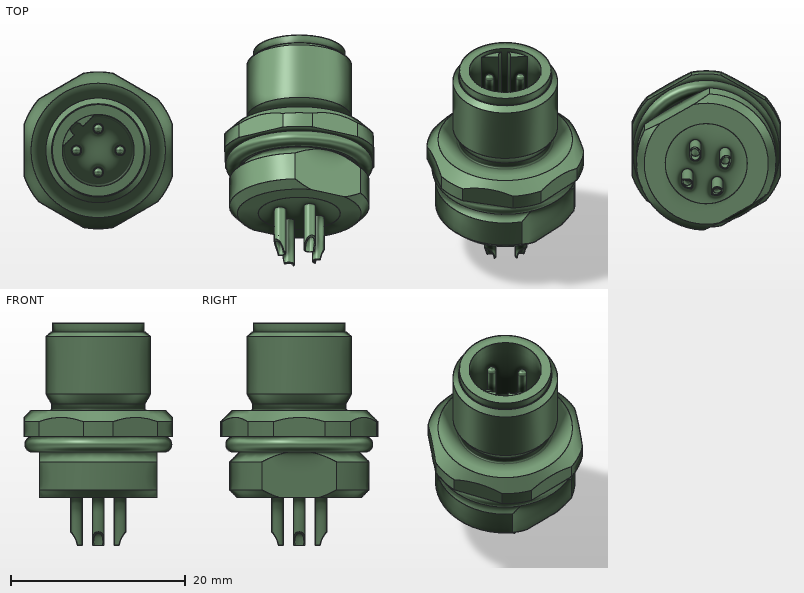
import cadquery as cq
import math


top_z = 13.0
shell_top_z = 12.0
flange_top_z = 3.0
socket_floor_z = 4.0
pin_shoulder_z = 0.0
base_z = -7.0
pin_bottom_z = -12.5

thread_radius = 6.0
neck_radius = 5.35
thread_lead_in_height = 0.55
thread_bottom_z = 4.9
neck_top_z = 3.75
neck_fillet = 0.2
flange_radius = 9.0
flange_across_flats = 17.0
flange_chamfer = 1.3
rear_radius = 8.0
rear_across_flats = 13.5
rear_top_z = -2.9
rear_bottom_chamfer = 0.9
shell_bore_radius = 4.7

ring_section_radius = 0.885
ring_inner_radius = 6.65
ring_center_radius = ring_inner_radius + ring_section_radius

lip_radius = 5.25
socket_radius = 4.12
socket_floor_fillet = 0.25
key_pad_top_z = 12.5
key_pad_offset = 3.18
key_slot_width = 1.38
key_slot_center_offset = 3.51
key_angle = 135.0

pin_count = 4
pin_circle_radius = 2.5
contact_radius = 0.5
contact_top_z = 11.0
contact_tip_fillet = 0.42
collar_radius = 0.6
collar_height = 0.1
solder_radius = 0.675
solder_cup_radius = 0.52
solder_cup_depth = 2.0
solder_edge_chamfer = 0.08
scoop_depth = 0.77
scoop_straight = 0.1
scoop_radius = 3.0
scoop_top_z = -10.9


def cylinder(radius, bottom_z, upper_z):
    return cq.Workplane("XY").workplane(offset=bottom_z).circle(radius).extrude(upper_z - bottom_z)


def make_shell():
    groove_bottom_z = rear_top_z + rear_radius - ring_inner_radius
    profile = (
        cq.Workplane("YZ")
        .moveTo(shell_bore_radius, base_z)
        .lineTo(rear_radius - rear_bottom_chamfer, base_z)
        .lineTo(rear_radius, base_z + rear_bottom_chamfer)
        .lineTo(rear_radius, rear_top_z)
        .lineTo(ring_inner_radius, groove_bottom_z)
        .lineTo(ring_inner_radius, 0)
        .lineTo(flange_radius, 0)
        .lineTo(flange_radius, flange_top_z - flange_chamfer)
        .lineTo(flange_radius - flange_chamfer, flange_top_z)
        .lineTo(neck_radius + neck_fillet, flange_top_z)
        .radiusArc((neck_radius, flange_top_z + neck_fillet), neck_fillet)
        .lineTo(neck_radius, neck_top_z)
        .lineTo(thread_radius, thread_bottom_z)
        .lineTo(thread_radius, shell_top_z - thread_lead_in_height)
        .lineTo(neck_radius, shell_top_z)
        .lineTo(shell_bore_radius, shell_top_z)
        .close()
    )
    turned = profile.revolve(360, (0, 0, 0), (0, 1, 0))

    hexagon = (
        cq.Workplane("XY")
        .polygon(6, flange_across_flats / math.cos(math.pi / 6))
        .extrude(top_z)
        .rotate((0, 0, 0), (0, 0, 1), 30)
    )
    rear_flats = (
        cq.Workplane("XY")
        .rect(rear_across_flats, 2 * flange_radius)
        .extrude(base_z)
    )
    return turned.intersect(hexagon.union(rear_flats))


def make_sealing_ring():
    return (
        cq.Workplane("XZ")
        .center(ring_center_radius, -ring_section_radius)
        .circle(ring_section_radius)
        .revolve(360, (-ring_center_radius, 0, 0), (-ring_center_radius, 1, 0))
    )


def make_key_pad():
    segment = cylinder(socket_radius, socket_floor_z, key_pad_top_z).intersect(
        cq.Workplane("XY")
        .workplane(offset=socket_floor_z)
        .center(key_pad_offset + socket_radius / 2, 0)
        .rect(socket_radius, 2 * socket_radius)
        .extrude(key_pad_top_z - socket_floor_z)
    )
    slot = (
        cq.Workplane("XY")
        .workplane(offset=socket_floor_z)
        .center(key_slot_center_offset - socket_radius / 2, 0)
        .slot2D(socket_radius + key_slot_width, key_slot_width)
        .extrude(key_pad_top_z - socket_floor_z)
    )
    return segment.cut(slot).rotate((0, 0, 0), (0, 0, 1), key_angle)


def make_insert(pins):
    body = cylinder(shell_bore_radius, base_z, shell_top_z).union(
        cylinder(lip_radius, shell_top_z, top_z)
    )
    socket = (
        cylinder(socket_radius, socket_floor_z, top_z)
        .faces("<Z")
        .edges()
        .fillet(socket_floor_fillet)
    )
    body = body.cut(socket).union(make_key_pad())
    for pin in pins:
        body = body.cut(pin)
    return body


def make_pin(angle):
    contact = (
        cylinder(contact_radius, pin_shoulder_z, contact_top_z)
        .faces(">Z")
        .edges()
        .fillet(contact_tip_fillet)
    )
    collar = (
        cylinder(collar_radius, pin_shoulder_z, socket_floor_z + collar_height)
        .faces(">Z")
        .edges()
        .chamfer(collar_height)
    )
    solder_end = (
        cylinder(solder_radius, pin_bottom_z, pin_shoulder_z)
        .faces("<Z")
        .edges()
        .chamfer(solder_edge_chamfer)
    )
    cup = cylinder(solder_cup_radius, pin_bottom_z, pin_bottom_z + solder_cup_depth)

    inner_x = solder_radius - scoop_depth
    arc_bottom_z = pin_bottom_z + scoop_straight
    scoop = (
        cq.Workplane("XZ")
        .moveTo(inner_x, pin_bottom_z)
        .lineTo(inner_x, arc_bottom_z)
        .radiusArc((solder_radius, scoop_top_z), scoop_radius)
        .lineTo(solder_radius, pin_bottom_z)
        .close()
        .extrude(solder_radius, both=True)
    )
    pin = contact.union(collar).union(solder_end).cut(cup).cut(scoop)
    return pin.translate((pin_circle_radius, 0, 0)).rotate((0, 0, 0), (0, 0, 1), angle)


shell = make_shell()
sealing_ring = make_sealing_ring()
pins = [make_pin(index * 360 / pin_count) for index in range(pin_count)]
insert = make_insert(pins)

result = cq.Compound.makeCompound(
    [shell.val(), sealing_ring.val(), insert.val(), *[pin.val() for pin in pins]]
)